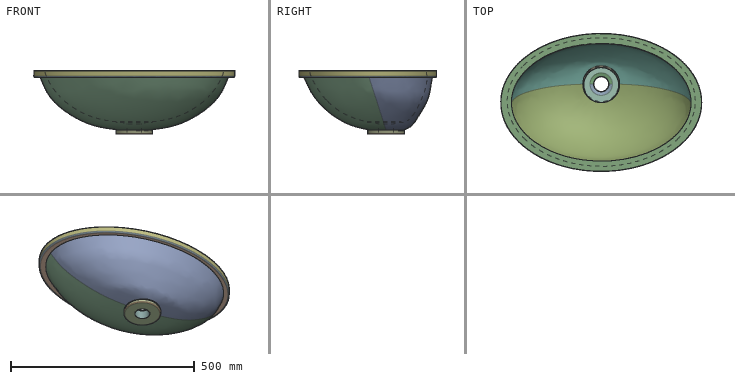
import cadquery as cq

rim_length = 548.0
rim_width = 376.5
rim_height = 18.5
rim_edge_radius = 4.0
opening_half_length = 245.0
opening_half_width = 160.0

total_height = 173.0
drain_y = 50.0
collar_radius = 50.5
collar_height = 12.0
collar_edge_radius = 3.0
seat_depth = 142.0
seat_radius = 47.5
seat_offset = 3.0
countersink_radius = 30.5
countersink_depth = 3.5
hole_radius = 20.5

bowl_depth = total_height - collar_height
wall_height = 22.0
rim_inset = 16.5

rim_seam_y = 4.0


def seam_y(depth):
    """Y of the widest line, which leans back evenly from the rim to the drain."""
    lean = (drain_y - rim_seam_y) / (bowl_depth - rim_height)
    return rim_seam_y + lean * (depth - rim_height)


bowl_sections = [
    (depth, half_length, front_reach, back_reach, seam_y(depth))
    for depth, half_length, front_reach, back_reach in [
        (41.5, 246.5, 175.0, 160.5),
        (70.5, 230.0, 167.0, 146.0),
        (109.5, 189.5, 144.0, 114.5),
        (130.5, 157.0, 123.0, 95.0),
        (153.0, 98.5, 81.0, 69.0),
    ]
]


def round_section(depth, radius, centre_y):
    return (depth, radius, radius, radius, centre_y)


bowl_top = (rim_height, 256.5, 178.0, 172.5, rim_seam_y)
opening = (0.0, opening_half_length, opening_half_width, opening_half_width, 0.0)
bowl_bottom_radius = collar_radius - collar_edge_radius
bowl_bottom = (bowl_depth, bowl_bottom_radius, bowl_bottom_radius, collar_radius, drain_y)
ledge = round_section(bowl_depth - wall_height, collar_radius, drain_y)


def half_ellipse(half_length, reach, start_angle):
    """Half ellipse from one end of the X axis to the other."""
    half = cq.Workplane("XY").ellipseArc(
        half_length, reach, start_angle, start_angle + 180, startAtCurrent=False
    )
    return half.val()


def section_wire(section):
    """Horizontal closed outline at the given depth below the rim."""
    depth, half_length, front_reach, back_reach, widest_y = section
    back = half_ellipse(half_length, back_reach, 0)
    front = half_ellipse(half_length, front_reach, 180)
    return cq.Wire.assembleEdges([back, front]).translate(cq.Vector(0, widest_y, -depth))


def loft_sections(sections, ruled=False):
    wires = [section_wire(section) for section in sections]
    return cq.Workplane(cq.Solid.makeLoft(wires, ruled))


def inner_section(section):
    """The outer section raised by the wall height and drawn in, most near the rim."""
    depth, half_length, front_reach, back_reach, widest_y = section
    inset = rim_inset * (1 - depth / bowl_depth)
    return (
        depth - wall_height,
        half_length - inset,
        front_reach - inset,
        back_reach - inset,
        widest_y,
    )


def make_rim():
    slab = cq.Workplane("XY").ellipse(rim_length / 2, rim_width / 2).extrude(-rim_height)
    return slab.faces("<Z").edges().fillet(rim_edge_radius)


def make_collar():
    plane = cq.Workplane("XY", origin=(0, drain_y, -total_height))
    collar = plane.circle(collar_radius).extrude(collar_height)
    return collar.faces("<Z or >Z").edges().fillet(collar_edge_radius)


def make_basin():
    """Hollow of the bowl, ending in the flat seat around the drain."""
    seat = round_section(seat_depth, seat_radius, drain_y - seat_offset)
    inner_sections = [inner_section(section) for section in bowl_sections[1:]]
    hollow = loft_sections([opening] + inner_sections + [ledge])
    recess = loft_sections([ledge, seat], ruled=True)
    return hollow.union(recess)


def make_drain_hole():
    countersink = loft_sections(
        [
            round_section(seat_depth, countersink_radius, drain_y),
            round_section(seat_depth + countersink_depth, hole_radius, drain_y),
        ],
        ruled=True,
    )
    plane = cq.Workplane("XY", origin=(0, drain_y, -total_height))
    bore = plane.circle(hole_radius).extrude(total_height - seat_depth)
    return bore.union(countersink)


bowl = loft_sections([bowl_top] + bowl_sections + [bowl_bottom])
result = make_rim().union(bowl).union(make_collar())
result = result.cut(make_basin()).cut(make_drain_hole())